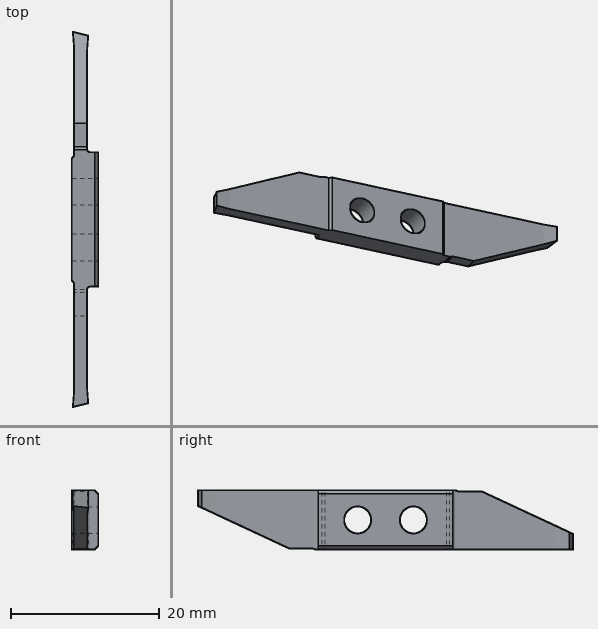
import cadquery as cq
import math

length = 50.5
height = 8.0
thickness = 3.6

body_length = 18.1
shoulder_fillet = 0.4
back_chamfer = 0.5
pad_height = 0.3
pad_length = 16.4
pad_edge_chamfer = 0.35

arm_thickness = 1.8
tip_width = 2.1
tip_side_length = 1.95
tip_end_angle = 14.0

relief_depth = 0.15
relief_ramp_start = 9.4
relief_ramp_end = 9.8
slope_start = 12.95
slope_angle = 25.0

hole_diameter = 3.6
hole_spacing = 7.5

half_length = length / 2
half_height = height / 2
pad_x = -thickness / 2
back_x = thickness / 2
arm_front_x = pad_x + pad_height
arm_back_x = arm_front_x + arm_thickness
tip_flare = (tip_width - arm_thickness) / 2
tip_front_x = arm_front_x - tip_flare
tip_back_x = arm_back_x + tip_flare
tip_back_y = half_length - tip_width * math.tan(math.radians(tip_end_angle))
shoulder_y = body_length / 2
pad_y = pad_length / 2


def make_plan():
    """Plan outline in XY, mirrored about the X axis, through the full height."""
    return (
        cq.Workplane("XY")
        .workplane(offset=-half_height)
        .moveTo(pad_x, 0)
        .lineTo(pad_x, pad_y)
        .lineTo(arm_front_x, pad_y + pad_edge_chamfer)
        .lineTo(arm_front_x, half_length - tip_side_length)
        .lineTo(tip_front_x, half_length)
        .lineTo(tip_back_x, tip_back_y)
        .lineTo(arm_back_x, tip_back_y - tip_side_length)
        .lineTo(arm_back_x, shoulder_y + shoulder_fillet)
        .radiusArc((arm_back_x + shoulder_fillet, shoulder_y), -shoulder_fillet)
        .lineTo(back_x, shoulder_y)
        .lineTo(back_x, 0)
        .mirrorX()
        .extrude(height)
    )


def chamfer_back(part):
    """Chamfer the two long edges of the back face."""
    return part.faces(">X").edges("|Y").chamfer(back_chamfer)


def make_relief_cutter():
    """Material removed above the +Y arm: a short ramp, a flat and a long slope."""
    relief_z = half_height - relief_depth
    slope_drop = (half_length - slope_start) * math.tan(math.radians(slope_angle))
    return (
        cq.Workplane("YZ")
        .moveTo(relief_ramp_start, half_height)
        .lineTo(relief_ramp_end, relief_z)
        .lineTo(slope_start, relief_z)
        .lineTo(half_length, relief_z - slope_drop)
        .lineTo(half_length, half_height)
        .close()
        .extrude(thickness, both=True)
    )


def cut_reliefs(part):
    """Relieve the top of the +Y arm and, turned half a turn about X, the bottom of the -Y arm."""
    cutter = make_relief_cutter()
    for turn in (0, 180):
        part = part.cut(cutter.rotate((0, 0, 0), (1, 0, 0), turn))
    return part


def cut_holes(part):
    """Drill the two mounting holes through the body."""
    holes = (
        cq.Workplane("YZ")
        .pushPoints([(-hole_spacing / 2, 0), (hole_spacing / 2, 0)])
        .circle(hole_diameter / 2)
        .extrude(thickness, both=True)
    )
    return part.cut(holes)


insert = make_plan()
insert = chamfer_back(insert)
insert = cut_reliefs(insert)
result = cut_holes(insert)